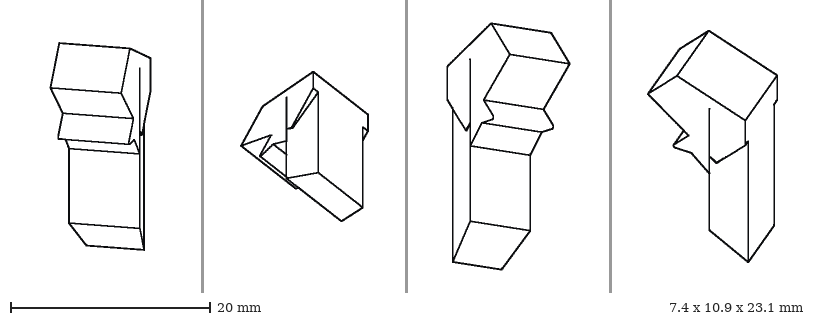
import cadquery as cq

stem_front_width = 7.4
stem_back_width = 6.02
stem_depth = 4.01
stem_height = 20.02
stem_front_bottom = 3.37

head_width = 7.38
overall_height = 23.07
peak_depth = 7.61
nose_depth = 10.87
nose_height = 19.26
notch_depth = 6.32
notch_height = 15.4

barb_depth = 8.28
barb_height = 13.13
barb_root_depth = 6.02
barb_tip_radius = 0.23
gusset_bottom = barb_height - (barb_root_depth - stem_depth)

heel_height = 16.6
heel_tip_depth = 3.23
heel_tip_height = 12.85
heel_front_height = 13.52


def extrude_side_profile(points, width):
    """Extrude (Y, Z) points symmetrically about X = 0."""
    return cq.Workplane("YZ").polyline(points).close().extrude(width / 2, both=True)


def make_stem():
    half_front = stem_front_width / 2
    half_back = stem_back_width / 2
    bar = (
        cq.Workplane("XY")
        .polyline([
            (-half_back, 0),
            (half_back, 0),
            (half_front, -stem_depth),
            (-half_front, -stem_depth),
        ])
        .close()
        .extrude(stem_height)
    )
    side = extrude_side_profile(
        [
            (0, 0),
            (-stem_depth, stem_front_bottom),
            (-stem_depth, stem_height),
            (0, stem_height),
        ],
        stem_front_width,
    )
    return bar.intersect(side)


def make_head():
    head = extrude_side_profile(
        [
            (0, stem_height),
            (-peak_depth, overall_height),
            (-nose_depth, nose_height),
            (-notch_depth, notch_height),
            (-barb_depth, barb_height),
            (-barb_root_depth, barb_height),
            (-stem_depth, gusset_bottom),
            (-stem_depth, heel_front_height),
            (-heel_tip_depth, heel_tip_height),
            (0, heel_height),
        ],
        head_width,
    )
    barb_tip = cq.selectors.NearestToPointSelector((0, -barb_depth, barb_height))
    return head.edges("|X").edges(barb_tip).fillet(barb_tip_radius)


result = make_stem().union(make_head())